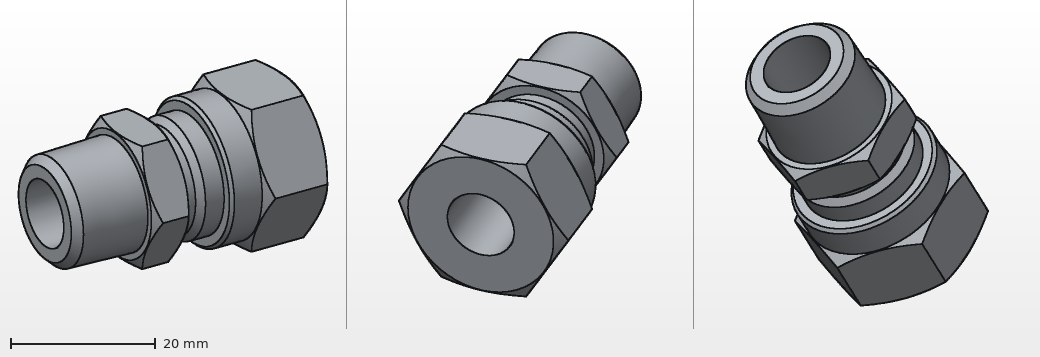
import cadquery as cq
import math


thread_chamfer_end = 1.25
thread_end = 11.5
body_hex_end = 17.5
neck_end = 19.5
shoulder_cone_end = 20.5
shoulder_end = 23.5
collar_chamfer = 0.5
collar_end = 28.5
nut_end = 39.01

bore_radius = 5.0
thread_tip_radius = 7.0
thread_small_radius = 8.18
thread_large_radius = 8.45
neck_radius = 8.0
shoulder_radius = 9.0
collar_radius = 10.9

body_hex_width = 19.0
nut_hex_width = 22.0
bevel_inset = 0.1
bevel_angle = math.radians(30)


def revolve_profile(points):
    """Turn an outline of (radius, y) points around the Y axis."""
    return cq.Workplane("XY").polyline(points).close().revolve(360, (0, 0, 0), (0, 1, 0))


def bevelled_hexagon(width, start, end):
    """Hexagon along Y with corners on +-X and conical bevels on both ends."""
    corner_radius = width / math.sqrt(3)
    face_radius = width / 2 - bevel_inset
    bevel_length = (corner_radius - face_radius) * math.tan(bevel_angle)
    prism = (
        cq.Workplane("XZ", origin=(0, start, 0))
        .polygon(6, 2 * corner_radius)
        .extrude(start - end)
    )
    bevel_envelope = revolve_profile([
        (0, start),
        (face_radius, start),
        (corner_radius, start + bevel_length),
        (corner_radius, end - bevel_length),
        (face_radius, end),
        (0, end),
    ])
    return prism.intersect(bevel_envelope)


def turned_body():
    """Tapered thread, neck, shoulder and collar as one turned core."""
    return revolve_profile([
        (0, 0),
        (thread_tip_radius, 0),
        (thread_small_radius, thread_chamfer_end),
        (thread_large_radius, thread_end),
        (neck_radius, thread_end),
        (neck_radius, neck_end),
        (shoulder_radius, shoulder_cone_end),
        (shoulder_radius, shoulder_end),
        (collar_radius - collar_chamfer, shoulder_end),
        (collar_radius, shoulder_end + collar_chamfer),
        (collar_radius, collar_end),
        (0, collar_end),
    ])


def through_bore():
    return cq.Workplane("XZ").circle(bore_radius).extrude(-nut_end)


body_hex = bevelled_hexagon(body_hex_width, thread_end, body_hex_end)
nut_hex = bevelled_hexagon(nut_hex_width, collar_end, nut_end)

result = turned_body().union(body_hex).union(nut_hex).cut(through_bore())